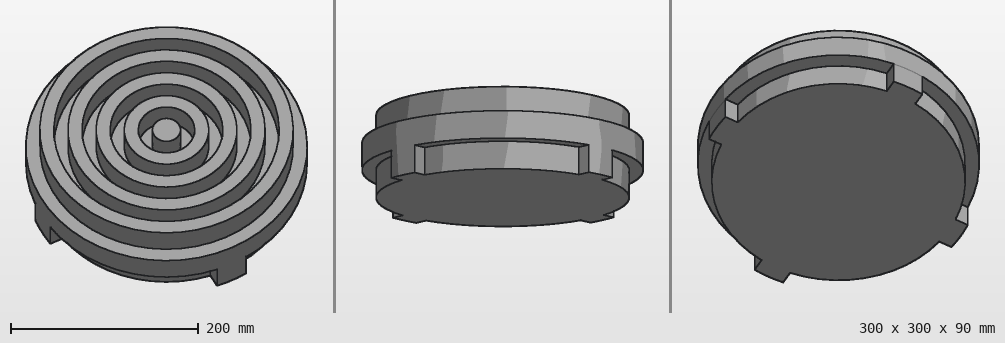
import cadquery as cq

outer_radius = 150.0
level_height = 30.0
ring_step = 15.0
foot_width = 35.0
foot_count = 4

body_radius = outer_radius - ring_step
flange_bottom = level_height
flange_top = 2 * level_height


def disc(radius, bottom):
    """Solid disc, one level high, centred on the Z axis."""
    return cq.Workplane("XY").workplane(offset=bottom).circle(radius).extrude(level_height)


def ring_wall(inner_radius):
    """Upright ring on the flange; the innermost one is a solid post."""
    wall = disc(inner_radius + ring_step, flange_top)
    if inner_radius > 0:
        wall = wall.cut(disc(inner_radius, flange_top))
    return wall


def foot(angle):
    """Parallel-sided foot from the axis to the flange rim, rounded by the rim."""
    bar = cq.Workplane("XY").box(
        outer_radius, foot_width, level_height, centered=(False, True, False)
    )
    return bar.intersect(disc(outer_radius, 0)).rotate((0, 0, 0), (0, 0, 1), angle)


result = disc(body_radius, 0).union(disc(outer_radius, flange_bottom))

for index in range(foot_count):
    result = result.union(foot(index * 360 / foot_count))

inner_radius = 0.0
while inner_radius < body_radius:
    result = result.union(ring_wall(inner_radius))
    inner_radius += 2 * ring_step